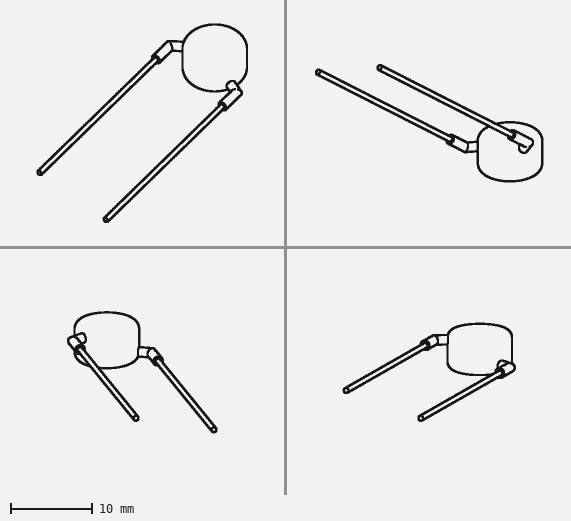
import cadquery as cq
import math

disc_radius = 4.0
disc_height = 5.0
disc_edge_radius = 1.0

lead_pitch = 10.0
lead_height = 1.28
wire_diameter = 0.65
overall_length = 34.5
wire_end_y = disc_radius - overall_length

sleeve_diameter = 1.2
sleeve_end_y = -5.5
bend_y = -2.5
arm_angle = math.radians(30)
arm_length = 3.45

lead_sides = (-1, 1)


def lead_point(side, y):
    """Point on the straight part of a lead's centre line."""
    return cq.Vector(side * lead_pitch / 2, y, -side * lead_height)


def make_sleeve(side):
    """Round sleeve with a mitred bend."""
    bend = lead_point(side, bend_y)
    arm = cq.Vector(-side * math.cos(arm_angle), math.sin(arm_angle), 0) * arm_length
    leg_end = lead_point(side, sleeve_end_y)
    path = cq.Workplane("XY").polyline([leg_end, bend, bend + arm])
    start_plane = cq.Plane(origin=leg_end, normal=(0, 1, 0))
    return cq.Workplane(start_plane).circle(sleeve_diameter / 2).sweep(path, transition="right")


def make_wire(side):
    """Straight wire from its free end, through the sleeve leg, to the bend."""
    start_plane = cq.Plane(origin=lead_point(side, wire_end_y), normal=(0, 1, 0))
    return cq.Workplane(start_plane).circle(wire_diameter / 2).extrude(bend_y - wire_end_y)


def make_coating(wires):
    """Rounded disc joined to both sleeves, with a hole for each wire."""
    disc = cq.Workplane("XY").cylinder(disc_height, disc_radius)
    coating = disc.faces("|Z").edges().fillet(disc_edge_radius)
    for side in lead_sides:
        coating = coating.union(make_sleeve(side))
    for wire in wires:
        coating = coating.cut(wire)
    return coating


wires = [make_wire(side) for side in lead_sides]
coating = make_coating(wires)

result = cq.Compound.makeCompound([coating.val(), *[wire.val() for wire in wires]])